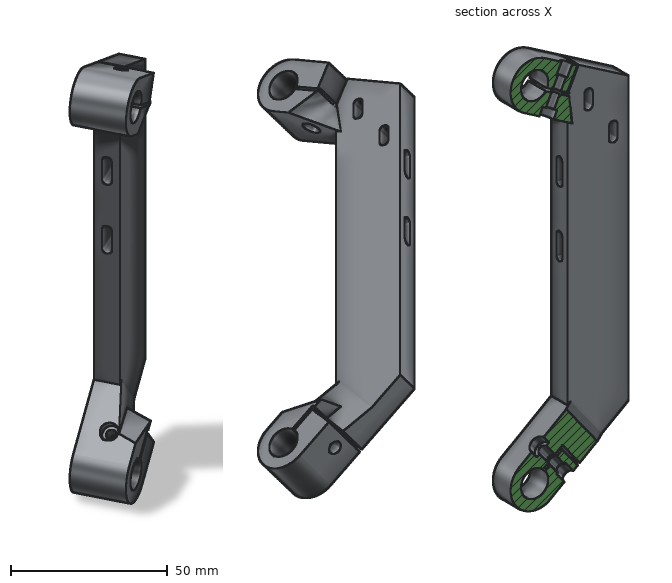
import cadquery as cq
import math

height = 159.0
clamp_width = 19.0
plate_thickness = 8.9
plate_depth = 24.0

eye_radius = 9.5
bore_diameter = 10.5
eye_y = -37.4
upper_angle = 25.0
lower_angle = -40.0

slit_width = 1.0
slit_reach = 15.1
tab_length = slit_reach - slit_width

screw_setback = 9.5
screw_diameter = 3.3
tab_hole_diameter = 4.5
tab_hole_depth = 4.8
head_diameter = 6.0
head_depth = 3.2

upper_pad_top = (6.5, slit_reach)
upper_pad_base = (21.3, slit_reach)
lower_pad_top = (7.5, 18.3)
lower_pad_base = (10.8, 21.5)

ramp_start = 27.0
ramp_rise = 6.2

slot_width = 3.3
side_slot_length = 7.6
side_slot_places = [(-6.0, 124.5), (-15.7, 138.5)]
front_slot_length = 10.5
front_slot_heights = [113.7, 87.5]


def edge_height(eye_z, angle, side, y):
    """Z at depth y on the arm edge above (side = 1) or below (side = -1) the eye."""
    slope = math.radians(angle)
    return eye_z + (eye_y - y) * math.tan(slope) + side * eye_radius / math.cos(slope)


def arm_frame(eye_z, angle, x=0.0):
    """Plane at the eye: local x points outward along the arm, local y down, its normal is +X."""
    slope = math.radians(angle)
    outward = (0, -math.cos(slope), math.sin(slope))
    return cq.Plane(origin=(x, eye_y, eye_z), xDir=outward, normal=(1, 0, 0))


def tangent_point(eye_z, angle, side):
    slope = math.radians(angle)
    y = eye_y + side * eye_radius * math.sin(slope)
    return y, eye_z + side * eye_radius * math.cos(slope)


def eye_tip(eye_z, angle):
    slope = math.radians(angle)
    return eye_y - eye_radius * math.cos(slope), eye_z + eye_radius * math.sin(slope)


def make_plate():
    """Flat bracket with both rounded arm ends."""
    return (
        cq.Workplane("YZ")
        .moveTo(0, edge_height(lower_eye_z, lower_angle, -1, 0))
        .lineTo(0, edge_height(upper_eye_z, upper_angle, 1, 0))
        .lineTo(*tangent_point(upper_eye_z, upper_angle, 1))
        .threePointArc(eye_tip(upper_eye_z, upper_angle), tangent_point(upper_eye_z, upper_angle, -1))
        .lineTo(-plate_depth, edge_height(upper_eye_z, upper_angle, -1, -plate_depth))
        .lineTo(-plate_depth, edge_height(lower_eye_z, lower_angle, 1, -plate_depth))
        .lineTo(*tangent_point(lower_eye_z, lower_angle, 1))
        .threePointArc(eye_tip(lower_eye_z, lower_angle), tangent_point(lower_eye_z, lower_angle, -1))
        .close()
        .extrude(plate_thickness)
    )


def box_on_arm(eye_z, angle, start, end, bottom, top, width):
    """Block spanning start..end along the arm and bottom..top across it, from X = 0 to width."""
    return (
        cq.Workplane(arm_frame(eye_z, angle))
        .moveTo((start + end) / 2, (bottom + top) / 2)
        .rect(end - start, abs(top - bottom))
        .extrude(width)
    )


def make_clamp(eye_z, angle, tab_side, pad_top, pad_base):
    """Full-width eye, its clamping tab and the sloped pad on the other side."""
    eye = cq.Workplane(arm_frame(eye_z, angle)).circle(eye_radius).extrude(clamp_width)
    tab = box_on_arm(eye_z, angle, -tab_length, 0, 0, tab_side * eye_radius, clamp_width)
    edge = -tab_side * eye_radius

    def pad_outline(setbacks):
        at_edge, at_centre = setbacks
        return [(0, 0), (0, edge), (-at_edge, edge), (-at_centre, 0)]

    pad = (
        cq.Workplane(arm_frame(eye_z, angle, plate_thickness))
        .polyline(pad_outline(pad_base))
        .close()
        .workplane(offset=clamp_width - plate_thickness)
        .polyline(pad_outline(pad_top))
        .close()
        .loft(ruled=True)
    )
    return eye.union(tab).union(pad)


def make_ramp():
    """Wedge rising from the inner corner of the lower arm to its eye."""
    frame = arm_frame(lower_eye_z, lower_angle, plate_thickness)
    plane = cq.Plane(origin=frame.origin, xDir=frame.xDir, normal=-frame.yDir)
    return (
        cq.Workplane(plane)
        .polyline([(-ramp_start, 0), (0, 0), (0, ramp_rise)])
        .close()
        .extrude(eye_radius, both=True)
    )


def clamp_cutter(eye_z, angle, tab_side):
    """Bore, L-shaped slit and stepped screw hole of one clamp."""
    frame = arm_frame(eye_z, angle)
    bore = cq.Workplane(frame).circle(bore_diameter / 2).extrude(clamp_width)
    floor = -tab_side * slit_width
    long_cut = box_on_arm(eye_z, angle, -slit_reach, 0, floor, 0, clamp_width)
    cross_cut = box_on_arm(
        eye_z, angle, -slit_reach, -tab_length, floor, tab_side * 2 * eye_radius, clamp_width
    )
    head_face = frame.toWorldCoords((-screw_setback, -tab_side * eye_radius, clamp_width / 2))
    hole_plane = cq.Plane(origin=head_face, xDir=(1, 0, 0), normal=frame.yDir * tab_side)
    screw = cq.Workplane(hole_plane).circle(screw_diameter / 2).extrude(2 * eye_radius)
    head = cq.Workplane(hole_plane).circle(head_diameter / 2).extrude(head_depth)
    tab_hole = (
        cq.Workplane(hole_plane)
        .workplane(offset=2 * eye_radius - tab_hole_depth)
        .circle(tab_hole_diameter / 2)
        .extrude(tab_hole_depth)
    )
    return bore.union(long_cut).union(cross_cut).union(screw).union(head).union(tab_hole)


def make_slots():
    """Side slots run through along X, front slots run through along Y."""
    side_slots = (
        cq.Workplane("YZ")
        .pushPoints(side_slot_places)
        .slot2D(side_slot_length, slot_width, 90)
        .extrude(plate_thickness)
    )
    front_slots = (
        cq.Workplane("XZ")
        .pushPoints([(plate_thickness / 2, z) for z in front_slot_heights])
        .slot2D(front_slot_length, slot_width, 90)
        .extrude(plate_depth)
    )
    return side_slots.union(front_slots)


lower_eye_z = eye_radius
upper_eye_z = height - eye_radius

body = (
    make_plate()
    .union(make_clamp(upper_eye_z, upper_angle, -1, upper_pad_top, upper_pad_base))
    .union(make_clamp(lower_eye_z, lower_angle, 1, lower_pad_top, lower_pad_base))
    .union(make_ramp())
)
result = (
    body.cut(clamp_cutter(upper_eye_z, upper_angle, -1))
    .cut(clamp_cutter(lower_eye_z, lower_angle, 1))
    .cut(make_slots())
)